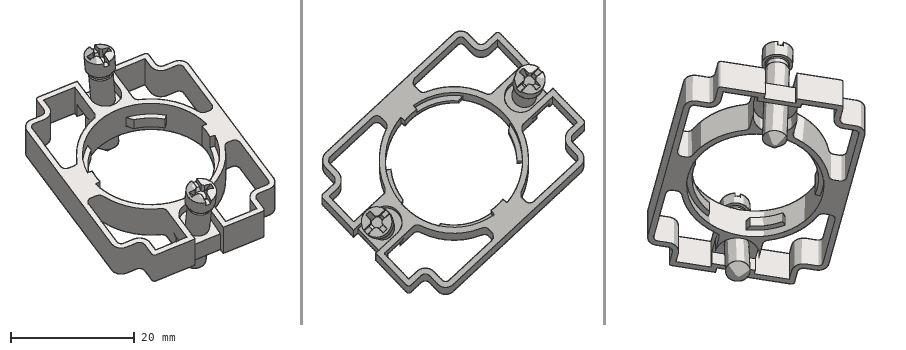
import cadquery as cq
import math

LENGTH = 39.6
WIDTH = 30.0
HEIGHT = 6.3
WALL = 1.0

STEP_HALF_LENGTH = 16.0
SHOULDER_HALF_WIDTH = 10.38
STEP_CORNER_RADIUS = 1.8
STEP_HOLLOW_RADIUS = 1.0
END_CORNER_RADIUS = 0.5

BORE_RADIUS = 22.25 / 2
BORE_OFFSET_Y = 0.15
RING_RADIUS = BORE_RADIUS + WALL
POST_HALF_LENGTH = 3.75
WINDOW_FILLET = 1.0

LUG_RADIUS = 10.25
LUG_BOTTOM = 1.6
LUG_TOP = 3.72
KEY_HALF_ANGLE = 7.4
KEY_ANGLES = (90, 270)
LUGS = [
    (34.4, 82.6, 31.6, 82.6),
    (138.3, 167.0, 138.3, 172.4),
    (222.5, 262.6, 218.9, 262.6),
    (322.5, 352.9, 322.5, 356.1),
]

SLOT_HALF_WIDTH = 2.6
SLOT_ROUND_CENTRE = 15.05
SLOT_BAR_HALF_WIDTH = SLOT_HALF_WIDTH + WALL
BLOCK_END = LENGTH / 2 - WALL
FLOOR_EDGE_HEIGHT = 3.8

RELIEF_HEIGHT = 2.8
RELIEF_SKIN = 0.8

SCREW_TILT = 7.5
TIP_X = 14.4
TIP_Z = -6.7
AXIS_X_AT_BASE = TIP_X - TIP_Z * math.tan(math.radians(SCREW_TILT))
SHAFT_RADIUS = 4.0 / 2
NECK_RADIUS = 3.65 / 2
HEAD_RADIUS = 5.0 / 2
POINT_LENGTH = SHAFT_RADIUS
NECK_START = 16.8
HEAD_START = 17.98
RIM_HEIGHT = 20.8
DOME_HEIGHT = 21.23

DRIVE_WIDTH = 0.9
SLOT_DEPTH = 0.75
CROSS_BOTTOM = 19.4
CROSS_BOTTOM_HALF = 0.87
CROSS_TOP_HALF = 2.25
CROSS_CORE_HALF_DIAGONAL = CROSS_BOTTOM_HALF + DRIVE_WIDTH / 2

SIDES = (-1, 1)


def block(x_min, x_max, y_half, z_min, z_max):
    """Box that is symmetric about the XZ plane."""
    return cq.Workplane("XY").box(
        x_max - x_min, 2 * y_half, z_max - z_min, centered=(False, True, False)
    ).translate((x_min, 0, z_min))


def fillet_upright_edges(solid, x, y, radius):
    """Round the vertical edges that stand at (+-x, y)."""
    tolerance = 0.005
    edges = solid.edges("|Z").filter(
        lambda edge: abs(abs(edge.Center().x) - x) < tolerance and abs(edge.Center().y - y) < tolerance
    )
    return edges.fillet(radius)


def stepped_plate():
    """Solid plate with the stepped, rounded outer outline."""
    plate = block(-LENGTH / 2, LENGTH / 2, SHOULDER_HALF_WIDTH, 0, HEIGHT)
    plate = plate.union(block(-STEP_HALF_LENGTH, STEP_HALF_LENGTH, WIDTH / 2, 0, HEIGHT))
    for side in SIDES:
        plate = fillet_upright_edges(plate, STEP_HALF_LENGTH, side * WIDTH / 2, STEP_CORNER_RADIUS)
        plate = fillet_upright_edges(plate, STEP_HALF_LENGTH, side * SHOULDER_HALF_WIDTH, STEP_HOLLOW_RADIUS)
        plate = fillet_upright_edges(plate, LENGTH / 2, side * SHOULDER_HALF_WIDTH, END_CORNER_RADIUS)
    return plate


def ring_disc(radius):
    return cq.Workplane("XY").center(0, BORE_OFFSET_Y).circle(radius).extrude(HEIGHT)


def windows(plate):
    """Four openings between the outer wall, the ring, the posts and the slot bars."""
    openings = plate.faces(">Z").wires().toPending().offset2D(-WALL).extrude(-HEIGHT, combine=False)
    openings = openings.cut(block(-LENGTH, LENGTH, SLOT_BAR_HALF_WIDTH, 0, HEIGHT))
    openings = openings.cut(block(-POST_HALF_LENGTH, POST_HALF_LENGTH, WIDTH, 0, HEIGHT))
    openings = openings.cut(ring_disc(RING_RADIUS))
    for side in SIDES:
        bar_y = side * SLOT_BAR_HALF_WIDTH
        bar_x = math.sqrt(RING_RADIUS**2 - (bar_y - BORE_OFFSET_Y) ** 2)
        post_y = BORE_OFFSET_Y + side * math.sqrt(RING_RADIUS**2 - POST_HALF_LENGTH**2)
        wall_y = side * (WIDTH / 2 - WALL)
        openings = fillet_upright_edges(openings, bar_x, bar_y, WINDOW_FILLET)
        openings = fillet_upright_edges(openings, POST_HALF_LENGTH, post_y, WINDOW_FILLET)
        openings = fillet_upright_edges(openings, POST_HALF_LENGTH, wall_y, WINDOW_FILLET)
    return openings


def bore_point(radius, angle):
    return (
        radius * math.cos(math.radians(angle)),
        BORE_OFFSET_Y + radius * math.sin(math.radians(angle)),
    )


def bore_segment(inner_start, inner_end, outer_start, outer_end, z_min, z_max):
    """Arc-shaped rib that stands inward from the bore."""
    return (
        cq.Workplane("XY", origin=(0, 0, z_min))
        .moveTo(*bore_point(LUG_RADIUS, inner_start))
        .threePointArc(
            bore_point(LUG_RADIUS, (inner_start + inner_end) / 2), bore_point(LUG_RADIUS, inner_end)
        )
        .lineTo(*bore_point(BORE_RADIUS, outer_end))
        .threePointArc(
            bore_point(BORE_RADIUS, (outer_start + outer_end) / 2), bore_point(BORE_RADIUS, outer_start)
        )
        .close()
        .extrude(z_max - z_min)
    )


def screw_slot():
    """Open, round-ended slot at the +X end, its floor square to the screw axis."""
    slot = block(SLOT_ROUND_CENTRE, LENGTH, SLOT_HALF_WIDTH, 0, HEIGHT)
    slot = slot.union(
        cq.Workplane("XY").center(SLOT_ROUND_CENTRE, 0).circle(SLOT_HALF_WIDTH).extrude(HEIGHT)
    )
    floor_block = block(-LENGTH, 0, LENGTH, -LENGTH, 0).rotate((0, 0, 0), (0, 1, 0), SCREW_TILT)
    floor_block = floor_block.translate((BLOCK_END, 0, FLOOR_EDGE_HEIGHT))
    slot = slot.cut(floor_block)
    return slot.cut(block(0, BLOCK_END, LENGTH, -LENGTH, FLOOR_EDGE_HEIGHT))


def floor_relief():
    """Hollow under the +X slot floor, rounded about the screw axis and open through both bar sides."""
    relief = block(AXIS_X_AT_BASE, BLOCK_END - RELIEF_SKIN, SLOT_BAR_HALF_WIDTH, 0, RELIEF_HEIGHT)
    round_end = cq.Workplane("XY").center(AXIS_X_AT_BASE, 0).circle(SLOT_BAR_HALF_WIDTH)
    inner_half = round_end.extrude(RELIEF_HEIGHT).intersect(
        block(0, AXIS_X_AT_BASE, LENGTH, 0, RELIEF_HEIGHT)
    )
    return relief.union(inner_half)


def tilted_to_side(solid, side):
    """Stand a body built upright on the Z axis at the screw place on one side."""
    return solid.rotate((0, 0, 0), (0, 1, 0), side * SCREW_TILT).translate((side * TIP_X, 0, TIP_Z))


def drive_recess():
    """Slot across the head along X plus a tapered cross recess."""
    slot_bottom = RIM_HEIGHT - SLOT_DEPTH
    slot = block(-HEAD_RADIUS, HEAD_RADIUS, DRIVE_WIDTH / 2, slot_bottom, DOME_HEIGHT)
    arms = block(-HEAD_RADIUS, HEAD_RADIUS, DRIVE_WIDTH / 2, CROSS_BOTTOM, DOME_HEIGHT)
    cross = arms.union(arms.rotate((0, 0, 0), (0, 0, 1), 90))
    core = cq.Workplane("XY", origin=(0, 0, CROSS_BOTTOM)).polygon(4, 2 * CROSS_CORE_HALF_DIAGONAL)
    cross = cross.union(core.extrude(DOME_HEIGHT - CROSS_BOTTOM))
    taper = (
        cq.Workplane("XY", origin=(0, 0, CROSS_BOTTOM))
        .rect(2 * CROSS_BOTTOM_HALF, 2 * CROSS_BOTTOM_HALF)
        .workplane(offset=DOME_HEIGHT - CROSS_BOTTOM)
        .rect(2 * CROSS_TOP_HALF, 2 * CROSS_TOP_HALF)
        .loft(ruled=True)
    )
    return slot.union(cross.intersect(taper))


def screw(side):
    """Pointed screw with a necked shaft and a domed head."""
    dome_rise = DOME_HEIGHT - RIM_HEIGHT
    dome_radius = (HEAD_RADIUS**2 + dome_rise**2) / (2 * dome_rise)
    mid_radius = HEAD_RADIUS / 2
    mid_height = DOME_HEIGHT - dome_radius + math.sqrt(dome_radius**2 - mid_radius**2)
    neck_flank = SHAFT_RADIUS - NECK_RADIUS
    body = (
        cq.Workplane("XZ")
        .lineTo(SHAFT_RADIUS, POINT_LENGTH)
        .lineTo(SHAFT_RADIUS, NECK_START)
        .lineTo(NECK_RADIUS, NECK_START + neck_flank)
        .lineTo(NECK_RADIUS, HEAD_START - neck_flank)
        .lineTo(SHAFT_RADIUS, HEAD_START)
        .lineTo(HEAD_RADIUS, HEAD_START)
        .lineTo(HEAD_RADIUS, RIM_HEIGHT)
        .threePointArc((mid_radius, mid_height), (0, DOME_HEIGHT))
        .close()
        .revolve(360, (0, 0, 0), (0, 1, 0))
    )
    return tilted_to_side(body.cut(drive_recess()), side)


def adapter_frame():
    """Frame with ring, lugs and the two screw seats."""
    plate = stepped_plate()
    frame = plate.cut(windows(plate)).cut(ring_disc(BORE_RADIUS))
    for lug_angles in LUGS:
        frame = frame.union(bore_segment(*lug_angles, LUG_BOTTOM, LUG_TOP))
    for key_angle in KEY_ANGLES:
        start = key_angle - KEY_HALF_ANGLE
        end = key_angle + KEY_HALF_ANGLE
        frame = frame.union(bore_segment(start, end, start, end, LUG_BOTTOM, HEIGHT))
    screw_hole = cq.Workplane("XY").circle(SHAFT_RADIUS).extrude(NECK_START)
    seat_cut = screw_slot().union(floor_relief())
    for side in SIDES:
        turn = 0 if side > 0 else 180
        frame = frame.cut(seat_cut.rotate((0, 0, 0), (0, 0, 1), turn))
        frame = frame.cut(tilted_to_side(screw_hole, side))
    return frame


frame = adapter_frame()
screws = [screw(side) for side in SIDES]
result = cq.Compound.makeCompound([frame.val(), *[body.val() for body in screws]])